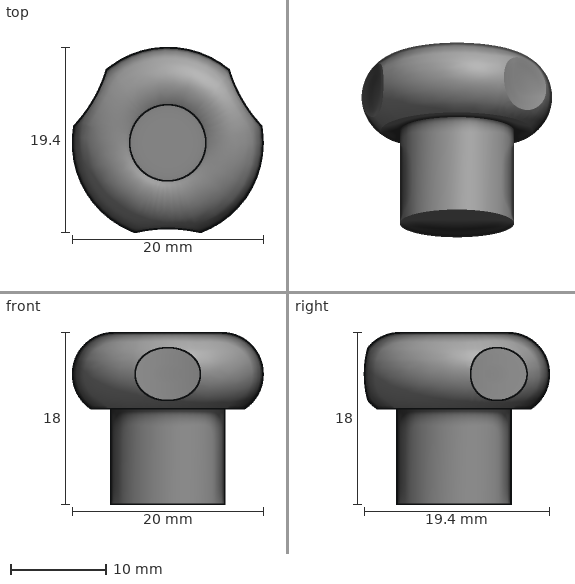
import cadquery as cq
import math

stem_diameter = 12.0
stem_height = 10.0

head_diameter = 20.0
head_height = 8.0
underside_diameter = 16.0
centre_flat_diameter = 8.0

grip_count = 3
grip_radius = 15.0
grip_floor_distance = 9.0
first_grip_angle = -90.0

total_height = stem_height + head_height
stem_radius = stem_diameter / 2
head_radius = head_diameter / 2
underside_radius = underside_diameter / 2
centre_flat_radius = centre_flat_diameter / 2

rim_inset = head_radius - underside_radius
section_radius = rim_inset + head_height - math.sqrt(2 * rim_inset * head_height)
section_centre_r = head_radius - section_radius
section_centre_z = total_height - section_radius

centre_flat_z = section_centre_z + math.sqrt(
    section_radius**2 - (section_centre_r - centre_flat_radius) ** 2
)


def make_body():
    """Stem and head, revolved about Z from one half profile."""
    profile = (
        cq.Workplane("XZ")
        .moveTo(0, 0)
        .lineTo(stem_radius, 0)
        .lineTo(stem_radius, stem_height)
        .lineTo(underside_radius, stem_height)
        .threePointArc((head_radius, section_centre_z), (centre_flat_radius, centre_flat_z))
        .lineTo(0, centre_flat_z)
        .close()
    )
    return profile.revolve(360, (0, 0, 0), (0, 1, 0))


def make_grip_cutters():
    """Upright cylinders that scoop the finger grips out of the rim."""
    return (
        cq.Workplane("XY")
        .workplane(offset=stem_height)
        .polarArray(grip_floor_distance + grip_radius, first_grip_angle, 360, grip_count)
        .circle(grip_radius)
        .extrude(head_height)
    )


result = make_body().cut(make_grip_cutters())